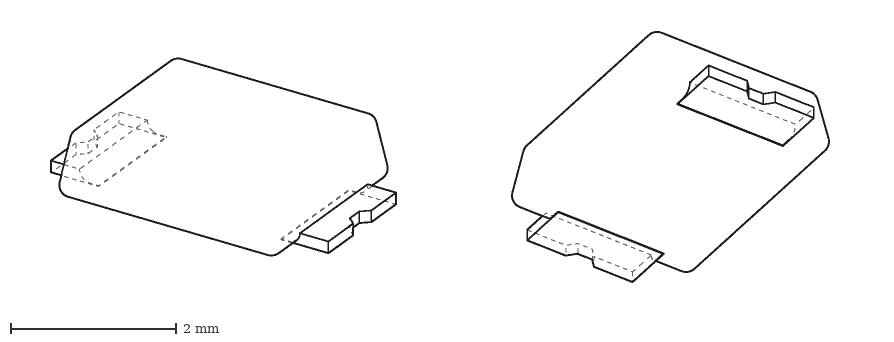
import cadquery as cq

BODY_BASE_LENGTH = 3.215
BODY_BASE_WIDTH = 2.7
BODY_HEIGHT = 0.9
DRAFT_ANGLE = 9.0
EDGE_RADIUS = 0.15
STANDOFF = 0.01

LEAD_SPAN = 3.98
LEAD_WIDTH = 1.53
LEAD_THICKNESS = 0.16
LEAD_EMBED = 0.3

NOTCH_DEPTH = 0.11
NOTCH_MOUTH = 0.41
NOTCH_FLOOR = 0.21


def make_body():
    """Tapered block standing slightly above the lead undersides."""
    block = (
        cq.Workplane("XY")
        .workplane(offset=STANDOFF)
        .rect(BODY_BASE_LENGTH, BODY_BASE_WIDTH)
        .extrude(BODY_HEIGHT, taper=DRAFT_ANGLE)
    )
    return block.edges().fillet(EDGE_RADIUS)


def make_lead(side):
    """Flat lead pointing along X; side is -1 or +1."""
    outer = side * LEAD_SPAN / 2
    notch_floor = outer - side * NOTCH_DEPTH
    inner = side * (BODY_BASE_LENGTH / 2 - LEAD_EMBED)
    outline = [
        (inner, -LEAD_WIDTH / 2),
        (outer, -LEAD_WIDTH / 2),
        (outer, -NOTCH_MOUTH / 2),
        (notch_floor, -NOTCH_FLOOR / 2),
        (notch_floor, NOTCH_FLOOR / 2),
        (outer, NOTCH_MOUTH / 2),
        (outer, LEAD_WIDTH / 2),
        (inner, LEAD_WIDTH / 2),
    ]
    return cq.Workplane("XY").polyline(outline).close().extrude(LEAD_THICKNESS)


result = make_body()
for end in (-1, 1):
    result = result.union(make_lead(end))